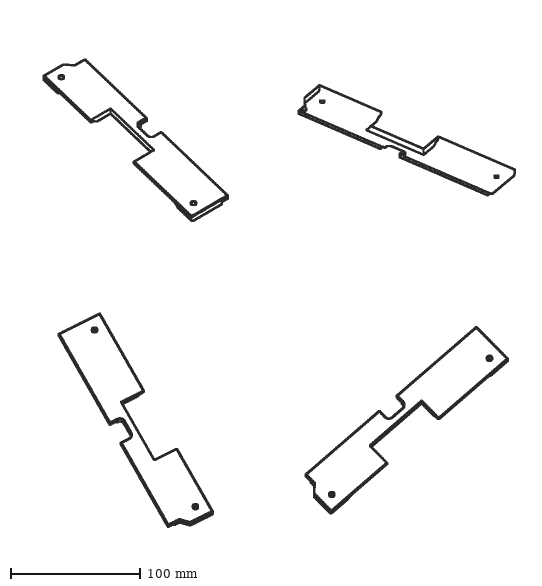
import cadquery as cq

LENGTH = 186.0
WIDTH = 36.0
THICKNESS = 6.0
TOP_CHAMFER = 0.5
FRONT_FILLET = 2.0

CORNER_STEP = 6.1
SHOULDER_Y = 19.9

OPENING_LEFT = 59.0
OPENING_RIGHT = 113.5

NOTCH_LEFT = 83.9
NOTCH_RIGHT = 102.0
NOTCH_DEPTH = 10.6
NOTCH_RADIUS = 3.5

RABBET_WIDTH = 6.0
RABBET_HEIGHT = 2.6

RELIEF_LEFT = 17.9
RELIEF_RIGHT = 168.0
RELIEF_DEPTH = 6.1
RELIEF_HEIGHT = 2.8
RELIEF_CORNER_RADIUS = 5.5
RELIEF_FILLET = 2.8
RELIEF_TAPER = 45

HOLE_DIAMETER = 3.3
RIM_ANGLE = 90
HOLE_Y = 10.0
HOLE_XS = (9.9, 175.8)

SELECT_MARGIN = 0.2


def box_between(x0, x1, y0, y1, z0, z1):
    return cq.Workplane("XY").box(x1 - x0, y1 - y0, z1 - z0, centered=False).translate((x0, y0, z0))


def make_plate():
    """Plate with a stepped corner and a rabbet along the underside of its back edge."""
    plate = (
        cq.Workplane("XY")
        .polyline(
            [
                (0, 0),
                (LENGTH, 0),
                (LENGTH, WIDTH),
                (CORNER_STEP, WIDTH),
                (CORNER_STEP, SHOULDER_Y + CORNER_STEP),
                (0, SHOULDER_Y),
            ]
        )
        .close()
        .extrude(THICKNESS)
    )
    return plate.cut(box_between(0, LENGTH, WIDTH - RABBET_WIDTH, WIDTH, 0, RABBET_HEIGHT))


def relieve_front(plate):
    """Cut the finger relief, then round its edges and the lower front edge."""
    relief = (
        box_between(RELIEF_LEFT, RELIEF_RIGHT, -WIDTH, RELIEF_DEPTH, 0, RELIEF_HEIGHT)
        .edges("|Z and >Y")
        .fillet(RELIEF_CORNER_RADIUS)
        .faces("<Z")
        .wires()
        .toPending()
        .extrude(RELIEF_HEIGHT, taper=RELIEF_TAPER, combine=False)
    )
    relief_edges = cq.selectors.BoxSelector(
        (RELIEF_LEFT - SELECT_MARGIN, SELECT_MARGIN, -SELECT_MARGIN),
        (RELIEF_RIGHT + SELECT_MARGIN, RELIEF_DEPTH + SELECT_MARGIN, RELIEF_HEIGHT + SELECT_MARGIN),
    )
    lower_front_edges = cq.selectors.BoxSelector(
        (-SELECT_MARGIN, -SELECT_MARGIN, -SELECT_MARGIN),
        (LENGTH + SELECT_MARGIN, SELECT_MARGIN, RELIEF_HEIGHT + SELECT_MARGIN),
        boundingbox=True,
    )
    plate = plate.cut(relief)
    plate = plate.edges(relief_edges).fillet(RELIEF_FILLET)
    return plate.edges(lower_front_edges).fillet(FRONT_FILLET)


def chamfer_top(plate):
    """Chamfer the whole rim of the top face."""
    return plate.faces(">Z").edges().chamfer(TOP_CHAMFER)


def make_front_opening():
    return box_between(OPENING_LEFT, OPENING_RIGHT, 0, SHOULDER_Y, 0, THICKNESS)


def make_back_notch():
    notch = box_between(NOTCH_LEFT, NOTCH_RIGHT, WIDTH - NOTCH_DEPTH, WIDTH, 0, THICKNESS)
    return notch.edges("|Z and <Y").fillet(NOTCH_RADIUS)


def drill_holes(plate):
    """Through holes with a chamfered upper rim."""
    rim_diameter = HOLE_DIAMETER + 2 * TOP_CHAMFER
    return (
        plate.faces(">Z")
        .workplane(origin=(0, 0, THICKNESS))
        .pushPoints([(x, HOLE_Y) for x in HOLE_XS])
        .cskHole(HOLE_DIAMETER, rim_diameter, RIM_ANGLE)
    )


plate = relieve_front(make_plate()).cut(make_back_notch())
result = drill_holes(chamfer_top(plate).cut(make_front_opening()))